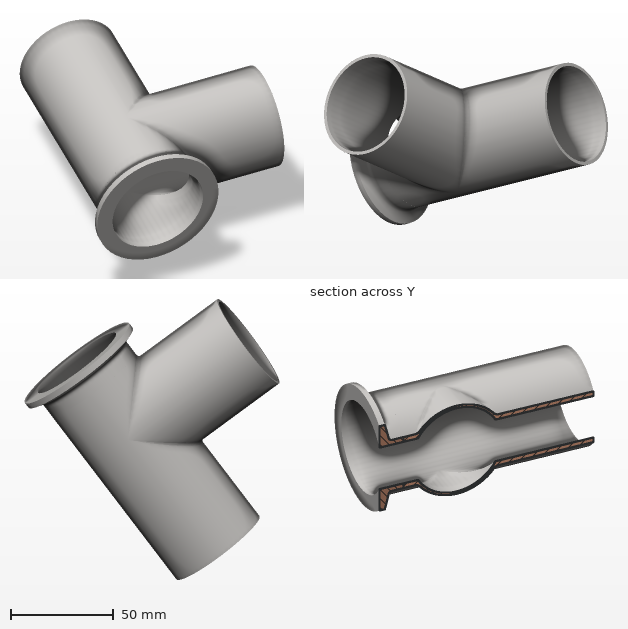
import cadquery as cq
import math

tube_radius = 25.4
wall = 1.6
bore_radius = tube_radius - wall

run_length = 101.5
branch_x = 73.0
branch_length = 73.0
crotch_fillet = 1.5
fillet_reach = tube_radius - 0.2
slab_side = 3 * run_length

overall_length = 114.3
rim_radius = 31.9
rim_thickness = 3.0
cone_angle = 20.0
neck_fillet = 1.7


def run_cylinder(radius):
    """Cylinder along the run axis, the full length of the run."""
    return cq.Workplane("YZ").circle(radius).extrude(run_length)


def branch_cylinder(radius):
    """Cylinder from the run axis out to the branch end."""
    return cq.Workplane("XZ", origin=(branch_x, 0, 0)).circle(radius).extrude(-branch_length)


def make_tee():
    """Equal tee with a small fillet in each crotch and open bores."""
    outside = run_cylinder(tube_radius).union(branch_cylinder(tube_radius))

    slab = cq.Workplane("XY").box(slab_side, slab_side, 2 * fillet_reach)
    middle = outside.intersect(slab, clean=False)
    seams = [edge for edge in middle.edges().vals() if edge.geomType() == "ELLIPSE"]
    blended = middle.newObject(seams).fillet(crotch_fillet).union(outside)

    return blended.cut(run_cylinder(bore_radius)).cut(branch_cylinder(bore_radius))


def make_ferrule():
    """Short neck flaring through a cone into the clamp rim, revolved about the X axis."""
    rim_back_x = overall_length - rim_thickness
    slope = math.radians(cone_angle)
    cone_root_x = rim_back_x - (rim_radius - tube_radius) * math.tan(slope)

    tangent_length = neck_fillet * math.tan((math.pi / 2 - slope) / 2)
    fillet_start = (cone_root_x - tangent_length, tube_radius)
    fillet_end = (
        cone_root_x + tangent_length * math.sin(slope),
        tube_radius + tangent_length * math.cos(slope),
    )
    profile = (
        cq.Workplane("XY")
        .moveTo(run_length, bore_radius)
        .lineTo(run_length, tube_radius)
        .lineTo(*fillet_start)
        .tangentArcPoint(fillet_end, relative=False)
        .lineTo(rim_back_x, rim_radius)
        .lineTo(overall_length, rim_radius)
        .lineTo(overall_length, bore_radius)
        .close()
    )
    return profile.revolve(360, (0, 0, 0), (1, 0, 0))


tee = make_tee()
ferrule = make_ferrule()

result = cq.Compound.makeCompound([tee.val(), ferrule.val()])